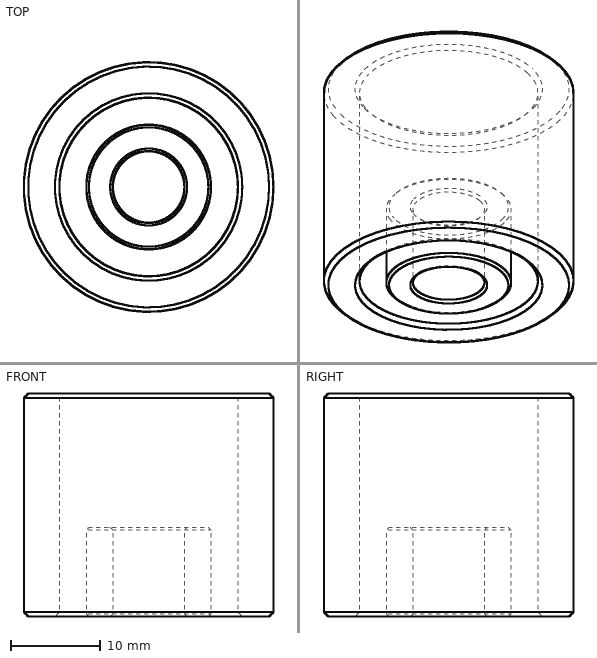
import cadquery as cq

sleeve_diameter = 28.0
sleeve_bore = 20.0
sleeve_height = 25.0
sleeve_chamfer = 0.5

ring_diameter = 14.0
ring_bore = 8.0
ring_height = 10.0
ring_chamfer = 0.3


def chamfered_tube(outer_diameter, bore_diameter, height, chamfer):
    """Upright tube on the XY plane with all four circular edges chamfered."""
    tube = (
        cq.Workplane("XY")
        .circle(outer_diameter / 2)
        .circle(bore_diameter / 2)
        .extrude(height)
    )
    return tube.faces("|Z").edges().chamfer(chamfer)


sleeve = chamfered_tube(sleeve_diameter, sleeve_bore, sleeve_height, sleeve_chamfer)
ring = chamfered_tube(ring_diameter, ring_bore, ring_height, ring_chamfer)

result = cq.Compound.makeCompound([sleeve.val(), ring.val()])